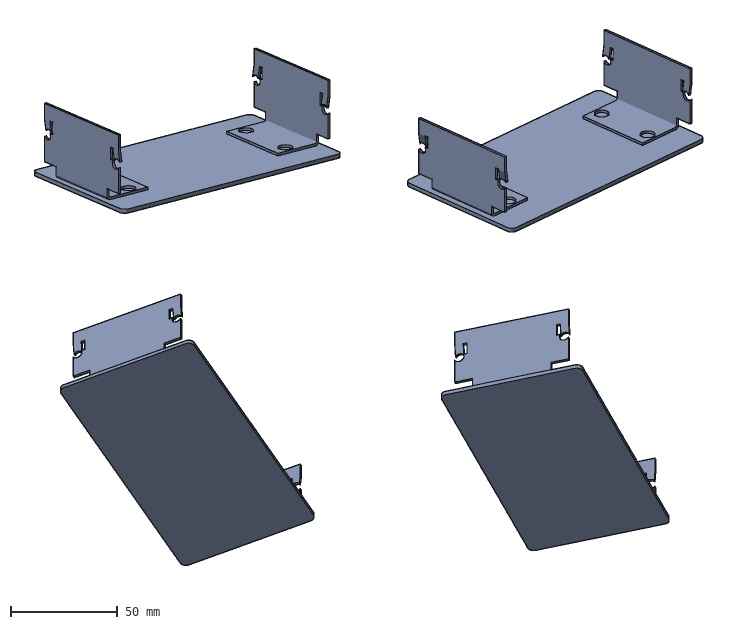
import cadquery as cq
import math

PLATE_WIDTH = 70.0
PLATE_LENGTH = 130.0
PLATE_THICKNESS = 2.1
PLATE_CORNER_RADIUS = 3.0

TOTAL_HEIGHT = 37.0
SHEET_THICKNESS = 1.3
BEND_OUTER_RADIUS = 2.1
WALL_WIDTH = 56.4
WALL_BOTTOM_Z = 7.9
WALL_END_GAP = 2.1
FOOT_WIDTH = 39.0
FOOT_LENGTH = 24.3

FOOT_HOLE_DIAMETER = 7.0
FOOT_HOLE_SPACING = 30.0
FOOT_HOLE_OFFSET = 16.2

NOTCH_DIAMETER = 5.0
NOTCH_X = 26.1
NOTCH_Z = 22.0
WINDOW_INNER_X = 22.2
WINDOW_BOTTOM_Z = 23.3
WINDOW_TOP_Z = 29.2
TAB_INNER_X = 24.0
TAB_ANGLE = 9.0

WALL_EDGE_X = WALL_WIDTH / 2
WALL_OUTER_Y = PLATE_LENGTH / 2 - WALL_END_GAP
WALL_INNER_Y = WALL_OUTER_Y - SHEET_THICKNESS
BEND_INNER_RADIUS = BEND_OUTER_RADIUS - SHEET_THICKNESS
FOOT_TOP_Z = PLATE_THICKNESS + SHEET_THICKNESS
BEND_CENTER_Y = WALL_OUTER_Y - BEND_OUTER_RADIUS
BEND_CENTER_Z = PLATE_THICKNESS + BEND_OUTER_RADIUS


def block(x_range, y_range, z_range):
    """Box spanning the given (low, high) ranges."""
    sizes = [high - low for low, high in (x_range, y_range, z_range)]
    corner = (x_range[0], y_range[0], z_range[0])
    return cq.Workplane("XY").box(*sizes, centered=False).translate(corner)


def make_plate():
    """Flat base plate with rounded corners."""
    return (
        cq.Workplane("XY")
        .box(PLATE_WIDTH, PLATE_LENGTH, PLATE_THICKNESS, centered=(True, True, False))
        .edges("|Z")
        .fillet(PLATE_CORNER_RADIUS)
    )


def make_bent_sheet():
    """L-shaped sheet of foot width, with a rounded bend."""
    foot_end_y = WALL_OUTER_Y - FOOT_LENGTH
    outer_reach = BEND_OUTER_RADIUS * math.sqrt(0.5)
    outer_bend_middle = (BEND_CENTER_Y + outer_reach, BEND_CENTER_Z - outer_reach)
    inner_reach = BEND_INNER_RADIUS * math.sqrt(0.5)
    inner_bend_middle = (BEND_CENTER_Y + inner_reach, BEND_CENTER_Z - inner_reach)
    return (
        cq.Workplane("YZ")
        .moveTo(foot_end_y, PLATE_THICKNESS)
        .lineTo(BEND_CENTER_Y, PLATE_THICKNESS)
        .threePointArc(outer_bend_middle, (WALL_OUTER_Y, BEND_CENTER_Z))
        .lineTo(WALL_OUTER_Y, TOTAL_HEIGHT)
        .lineTo(WALL_INNER_Y, TOTAL_HEIGHT)
        .lineTo(WALL_INNER_Y, BEND_CENTER_Z)
        .threePointArc(inner_bend_middle, (BEND_CENTER_Y, FOOT_TOP_Z))
        .lineTo(foot_end_y, FOOT_TOP_Z)
        .close()
        .extrude(FOOT_WIDTH / 2, both=True)
    )


def make_wide_wall():
    """Full-width upper part of the wall."""
    return block(
        (-WALL_EDGE_X, WALL_EDGE_X),
        (WALL_INNER_Y, WALL_OUTER_Y),
        (WALL_BOTTOM_Z, TOTAL_HEIGHT),
    )


def make_foot_holes():
    """Cutters for the two holes through the foot."""
    return (
        cq.Workplane("XY", origin=(0, WALL_OUTER_Y - FOOT_HOLE_OFFSET, PLATE_THICKNESS))
        .pushPoints([(-FOOT_HOLE_SPACING / 2, 0), (FOOT_HOLE_SPACING / 2, 0)])
        .circle(FOOT_HOLE_DIAMETER / 2)
        .extrude(SHEET_THICKNESS)
    )


def make_window():
    """Cutter for the opening on the +X side that surrounds the tab."""
    wall_y = (WALL_INNER_Y, WALL_OUTER_Y)
    window = block((WINDOW_INNER_X, WALL_EDGE_X), wall_y, (WINDOW_BOTTOM_Z, WINDOW_TOP_Z))
    below_tab = block((NOTCH_X, WALL_EDGE_X), wall_y, (NOTCH_Z, WINDOW_TOP_Z))
    return window.union(below_tab)


def make_notch():
    """Round cutter through the wall on the +X side."""
    return (
        cq.Workplane("XZ", origin=(NOTCH_X, WALL_OUTER_Y, NOTCH_Z))
        .circle(NOTCH_DIAMETER / 2)
        .extrude(SHEET_THICKNESS)
    )


def make_tab():
    """Tab on the +X side: a bend below the window top, then a flat end shaped by the notch."""
    tab_x = (TAB_INNER_X, WALL_EDGE_X)
    wall_y = (WALL_INNER_Y, WALL_OUTER_Y)
    axis_start = (0, BEND_CENTER_Y, WINDOW_TOP_Z)
    axis_end = (1, BEND_CENTER_Y, WINDOW_TOP_Z)

    bend = (
        cq.Workplane("XY", origin=(0, 0, WINDOW_TOP_Z))
        .moveTo(tab_x[0], WALL_INNER_Y)
        .lineTo(tab_x[1], WALL_INNER_Y)
        .lineTo(tab_x[1], WALL_OUTER_Y)
        .lineTo(tab_x[0], WALL_OUTER_Y)
        .close()
        .revolve(TAB_ANGLE, (1.3, BEND_CENTER_Y), (0, BEND_CENTER_Y))
    )

    bend_length = math.radians(TAB_ANGLE) * (BEND_INNER_RADIUS + BEND_OUTER_RADIUS) / 2
    flat_end = (
        block(tab_x, wall_y, (NOTCH_Z + bend_length, WINDOW_TOP_Z))
        .cut(make_notch().translate((0, 0, bend_length)))
        .rotate(axis_start, axis_end, -TAB_ANGLE)
    )
    return bend.union(flat_end)


def make_bracket():
    """Bracket at the +Y end of the plate."""
    bracket = make_bent_sheet().union(make_wide_wall()).cut(make_foot_holes())
    opening = make_window().union(make_notch())
    tab = make_tab()
    bracket = bracket.cut(opening).cut(opening.mirror("YZ"))
    return bracket.union(tab).union(tab.mirror("YZ"))


plate = make_plate()
brackets = [make_bracket().rotate((0, 0, 0), (0, 0, 1), turn) for turn in (0, 180)]

result = cq.Compound.makeCompound([plate.val(), *[bracket.solids().val() for bracket in brackets]])